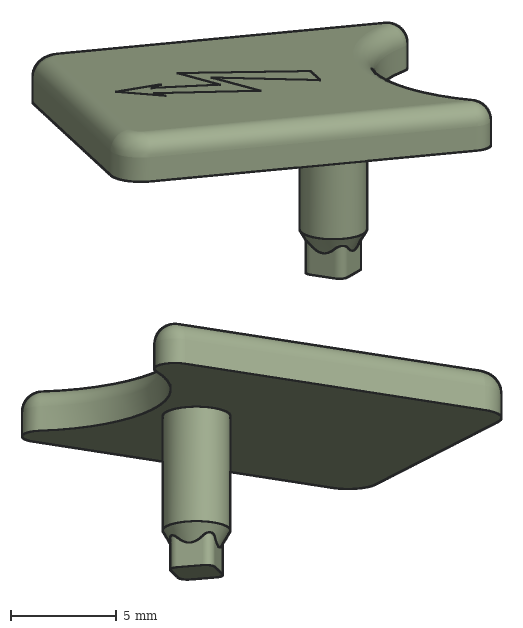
import cadquery as cq
import math

PLATE_WIDTH = 15.0
PLATE_LENGTH = 18.73
PLATE_THICKNESS = 2.2
FRONT_CORNER_RADIUS = 1.5
EDGE_ROUND = 1.0
SCOOP_RADIUS = 7.0

TOTAL_HEIGHT = 9.9
STEM_Y = 3.63
STEM_RADIUS = 1.61
SHANK_LENGTH = 5.65
TAPER_HALF_ANGLE = 30.0
TIP_SIDE = 2.2
TIP_CORNER_RADIUS = 0.45

BOLT_DEPTH = 0.5
BOLT_OUTLINE = [
    (-0.34, 2.6),
    (1.18, 2.6),
    (-0.79, -2.2),
    (1.95, -0.62),
    (0.79, -5.55),
    (1.35, -5.15),
    (0.02, -7.2),
    (-0.47, -4.8),
    (-0.05, -5.41),
    (0.43, -2.15),
    (-1.95, -3.5),
]


def make_plate():
    """Plate with rounded front corners, two horns beside a scoop, and a rounded top rim."""
    half_width = PLATE_WIDTH / 2
    half_length = PLATE_LENGTH / 2
    horn_x = half_width - EDGE_ROUND
    horn_y = half_length - EDGE_ROUND

    scoop_y = horn_y + math.sqrt((SCOOP_RADIUS + EDGE_ROUND) ** 2 - horn_x**2)
    scoop_share = SCOOP_RADIUS / (SCOOP_RADIUS + EDGE_ROUND)
    tangent_x = horn_x * scoop_share
    tangent_y = scoop_y + (horn_y - scoop_y) * scoop_share

    plate = (
        cq.Workplane("XY")
        .moveTo(-half_width, -half_length)
        .lineTo(half_width, -half_length)
        .lineTo(half_width, horn_y)
        .threePointArc((horn_x, half_length), (tangent_x, tangent_y))
        .threePointArc((0, scoop_y - SCOOP_RADIUS), (-tangent_x, tangent_y))
        .threePointArc((-horn_x, half_length), (-half_width, horn_y))
        .close()
        .extrude(PLATE_THICKNESS)
    )
    plate = plate.edges("|Z and <Y").fillet(FRONT_CORNER_RADIUS)
    return plate.faces(">Z").edges().fillet(EDGE_ROUND)


def make_stem():
    """Round shank that tapers into a square tip standing on its corner directions."""
    stem_length = TOTAL_HEIGHT - PLATE_THICKNESS
    tip_inradius = TIP_SIDE / 2
    taper_length = (STEM_RADIUS - tip_inradius) / math.tan(math.radians(TAPER_HALF_ANGLE))
    taper_end = SHANK_LENGTH + taper_length

    shank = (
        cq.Workplane("XZ")
        .moveTo(0, 0)
        .lineTo(STEM_RADIUS, 0)
        .lineTo(STEM_RADIUS, -SHANK_LENGTH)
        .lineTo(tip_inradius, -taper_end)
        .lineTo(0, -taper_end)
        .close()
        .revolve(360, (0, 0, 0), (0, 1, 0))
    )
    tip = (
        cq.Workplane("XY")
        .workplane(offset=-stem_length)
        .rect(TIP_SIDE, TIP_SIDE)
        .extrude(stem_length - SHANK_LENGTH)
        .edges("|Z")
        .fillet(TIP_CORNER_RADIUS)
        .rotate((0, 0, 0), (0, 0, 1), 45)
    )
    return shank.union(tip).translate((0, STEM_Y, 0))


def make_bolt():
    """Lightning bolt inlay, flush with the top face of the plate."""
    return (
        cq.Workplane("XY")
        .workplane(offset=PLATE_THICKNESS - BOLT_DEPTH)
        .polyline(BOLT_OUTLINE)
        .close()
        .extrude(BOLT_DEPTH)
    )


bolt = make_bolt()
cap = make_plate().union(make_stem()).cut(bolt)

result = cq.Compound.makeCompound([cap.solids().val(), bolt.val()])